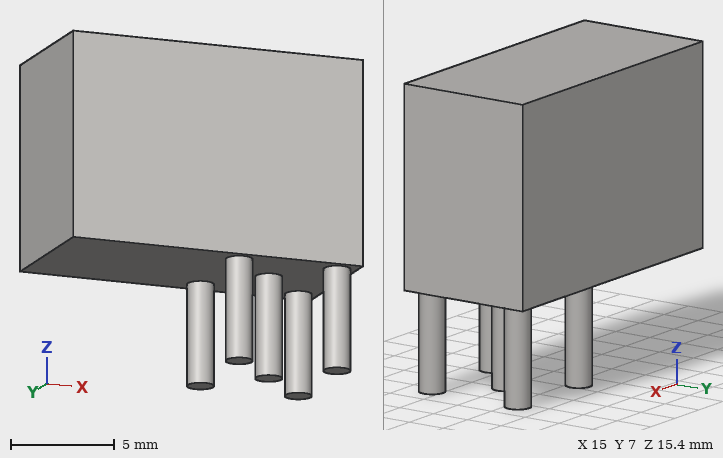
import cadquery as cq

total_height = 15.36
housing_length = 15.0
housing_width = 7.0
pin_length = 5.07
housing_height = total_height - pin_length

pin_diameter = 1.3
pin_pitch = 2.53
pin_edge_distance = housing_width / 2 - pin_pitch
pattern_center_x = housing_length / 2 - pin_edge_distance - pin_pitch
pin_grid_places = [(-1, -1), (1, -1), (0, 0), (-1, 1), (1, 1)]


def make_housing():
    """Plain block standing on the plane Z = 0."""
    return cq.Workplane("XY").box(
        housing_length, housing_width, housing_height, centered=(True, True, False)
    )


def make_pin(x, y):
    """Round pin hanging down from the underside of the housing."""
    return cq.Workplane("XY").center(x, y).circle(pin_diameter / 2).extrude(-pin_length)


housing = make_housing()
pins = []
for column, row in pin_grid_places:
    pin = make_pin(pattern_center_x + column * pin_pitch, row * pin_pitch)
    pins.append(pin.val())

result = cq.Compound.makeCompound([housing.val(), *pins])